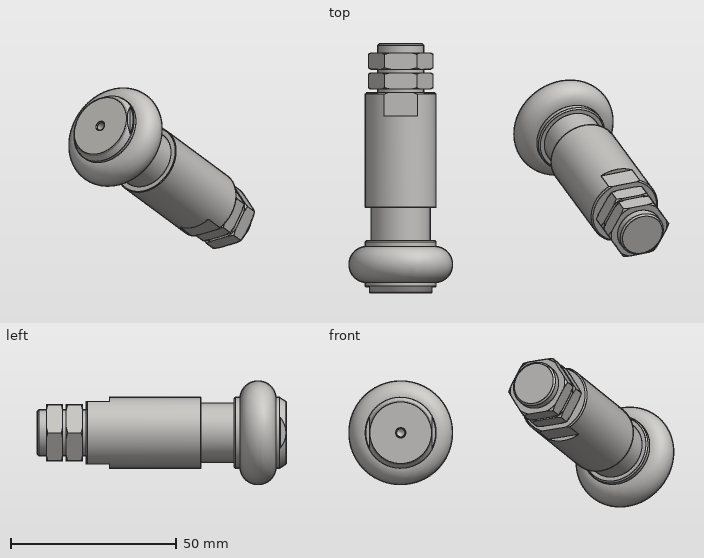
import cadquery as cq
import math

OVERALL_LENGTH = 75.5

BODY_DIAMETER = 21.5
HOUSING_FRONT = 25.8
HOUSING_REAR = 60.6
HOUSING_FRONT_CHAMFER = 0.2
HOUSING_REAR_CHAMFER = 0.45
STUD_DIAMETER = 14.0
STUD_CHAMFER = 0.5
WRENCH_WIDTH = 19.0
HOUSING_FLAT_LENGTH = 7.0

ROD_DIAMETER = 18.05
ROD_REAR = 52.85
FLANGE_REAR = 15.9
FLANGE_CHAMFER = 0.45
NOSE_LENGTH = 2.1
NOSE_FACE_DIAMETER = 19.25
NOSE_EDGE_CHAMFER = 0.3
NOSE_FLAT_LENGTH = 1.8
CENTRE_HOLE_DIAMETER = 2.5
CENTRE_HOLE_MOUTH_DIAMETER = 3.1
CENTRE_HOLE_DEPTH = 3.8
DRILL_POINT_ANGLE = 120.0

RING_OUTER_DIAMETER = 31.5
RING_SECTION_DIAMETER = 11.0
RING_CENTRE = 8.6

NUT_WIDTH = 17.0
NUT_THICKNESS = 5.0
NUT_FRONTS = (61.7, 67.7)
NUT_CHAMFER_ANGLE = 30.0
NUT_CHAMFER_DIAMETER = 18.0


def turned(profile):
    """Revolve a closed (radius, Y) outline about the Y axis."""
    return cq.Workplane("XY").polyline(profile).close().revolve(360, (0, 0), (0, 1))


def cylinder(diameter, front, rear):
    """Cylinder on the Y axis between two stations."""
    radius = diameter / 2
    return turned([(0, front), (radius, front), (radius, rear), (0, rear)])


def slab(size_x, size_z, front, rear):
    """Block centred on the Y axis between two stations."""
    return cq.Workplane("XY").box(size_x, rear - front, size_z).translate((0, (front + rear) / 2, 0))


def make_housing():
    """Sleeve with a blind bore, two wrench flats and an integral stud."""
    radius = BODY_DIAMETER / 2
    stud_radius = STUD_DIAMETER / 2
    housing = turned([
        (0, HOUSING_FRONT),
        (radius - HOUSING_FRONT_CHAMFER, HOUSING_FRONT),
        (radius, HOUSING_FRONT + HOUSING_FRONT_CHAMFER),
        (radius, HOUSING_REAR - HOUSING_REAR_CHAMFER),
        (radius - HOUSING_REAR_CHAMFER, HOUSING_REAR),
        (stud_radius, HOUSING_REAR),
        (stud_radius, OVERALL_LENGTH - STUD_CHAMFER),
        (stud_radius - STUD_CHAMFER, OVERALL_LENGTH),
        (0, OVERALL_LENGTH),
    ])
    housing = housing.cut(cylinder(ROD_DIAMETER, HOUSING_FRONT, ROD_REAR))

    flat_front = HOUSING_REAR - HOUSING_FLAT_LENGTH
    outside_flats = slab(BODY_DIAMETER, BODY_DIAMETER, flat_front, HOUSING_REAR).cut(
        slab(BODY_DIAMETER, WRENCH_WIDTH, flat_front, HOUSING_REAR))
    return housing.cut(outside_flats)


def make_ring():
    """Ring of round section."""
    section_radius = RING_SECTION_DIAMETER / 2
    centre_radius = RING_OUTER_DIAMETER / 2 - section_radius
    return (
        cq.Workplane("XY")
        .center(centre_radius, RING_CENTRE)
        .circle(section_radius)
        .revolve(360, (-centre_radius, 0), (-centre_radius, 1))
    )


def make_centre_hole():
    """Blind centre hole with a countersunk mouth and a drill point."""
    radius = CENTRE_HOLE_DIAMETER / 2
    mouth_radius = CENTRE_HOLE_MOUTH_DIAMETER / 2
    point_length = radius / math.tan(math.radians(DRILL_POINT_ANGLE / 2))
    return turned([
        (0, 0),
        (mouth_radius, 0),
        (radius, mouth_radius - radius),
        (radius, CENTRE_HOLE_DEPTH),
        (0, CENTRE_HOLE_DEPTH + point_length),
    ])


def make_plunger(ring):
    """Rod with a grooved hub, a conical nose with two flats and a centre hole."""
    radius = BODY_DIAMETER / 2
    face_radius = NOSE_FACE_DIAMETER / 2
    rod_radius = ROD_DIAMETER / 2
    plunger = turned([
        (0, 0),
        (face_radius - NOSE_EDGE_CHAMFER, 0),
        (face_radius, NOSE_EDGE_CHAMFER),
        (radius, NOSE_LENGTH),
        (radius, FLANGE_REAR - FLANGE_CHAMFER),
        (radius - FLANGE_CHAMFER, FLANGE_REAR),
        (rod_radius, FLANGE_REAR),
        (rod_radius, ROD_REAR),
        (0, ROD_REAR),
    ])

    outside_flats = slab(BODY_DIAMETER, BODY_DIAMETER, 0, NOSE_FLAT_LENGTH).cut(
        slab(WRENCH_WIDTH, BODY_DIAMETER, 0, NOSE_FLAT_LENGTH))
    return plunger.cut(outside_flats).cut(make_centre_hole()).cut(ring)


def make_nut(front):
    """Hexagon nut with flats facing up and down and both ends chamfered."""
    rear = front + NUT_THICKNESS
    corner_diameter = NUT_WIDTH / math.cos(math.pi / 6)
    hexagon = (
        cq.Workplane("XZ", origin=(0, rear, 0))
        .polygon(6, corner_diameter)
        .extrude(NUT_THICKNESS)
    )
    corner_radius = corner_diameter / 2
    chamfer_radius = NUT_CHAMFER_DIAMETER / 2
    chamfer_length = (corner_radius - chamfer_radius) * math.tan(math.radians(NUT_CHAMFER_ANGLE))
    envelope = turned([
        (0, front),
        (chamfer_radius, front),
        (corner_radius, front + chamfer_length),
        (corner_radius, rear - chamfer_length),
        (chamfer_radius, rear),
        (0, rear),
    ])
    return hexagon.intersect(envelope).cut(cylinder(STUD_DIAMETER, front, rear))


housing = make_housing()
ring = make_ring()
plunger = make_plunger(ring)
nuts = [make_nut(front) for front in NUT_FRONTS]

result = cq.Compound.makeCompound([
    housing.solids().val(),
    plunger.solids().val(),
    ring.solids().val(),
    *[nut.solids().val() for nut in nuts],
])